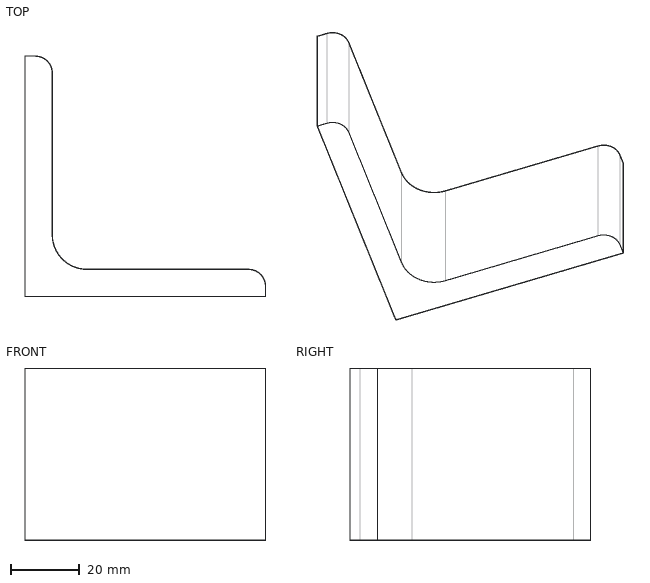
import cadquery as cq

leg_length = 70.0
leg_thickness = 8.0
part_height = 50.0
root_radius = 10.0
toe_radius = 5.0


def angle_outline():
    """Sharp L outline with the outer corner at the origin."""
    return [
        (0, 0),
        (leg_length, 0),
        (leg_length, leg_thickness),
        (leg_thickness, leg_thickness),
        (leg_thickness, leg_length),
        (0, leg_length),
    ]


def round_vertical_edge(body, x, y, radius):
    """Fillet the full-height edge that stands at (x, y)."""
    edge = body.edges("|Z").edges(cq.NearestToPointSelector((x, y, part_height / 2)))
    return edge.fillet(radius)


angle = cq.Workplane("XY").polyline(angle_outline()).close().extrude(part_height)
angle = round_vertical_edge(angle, leg_thickness, leg_thickness, root_radius)
for toe_x, toe_y in [(leg_length, leg_thickness), (leg_thickness, leg_length)]:
    angle = round_vertical_edge(angle, toe_x, toe_y, toe_radius)

result = angle